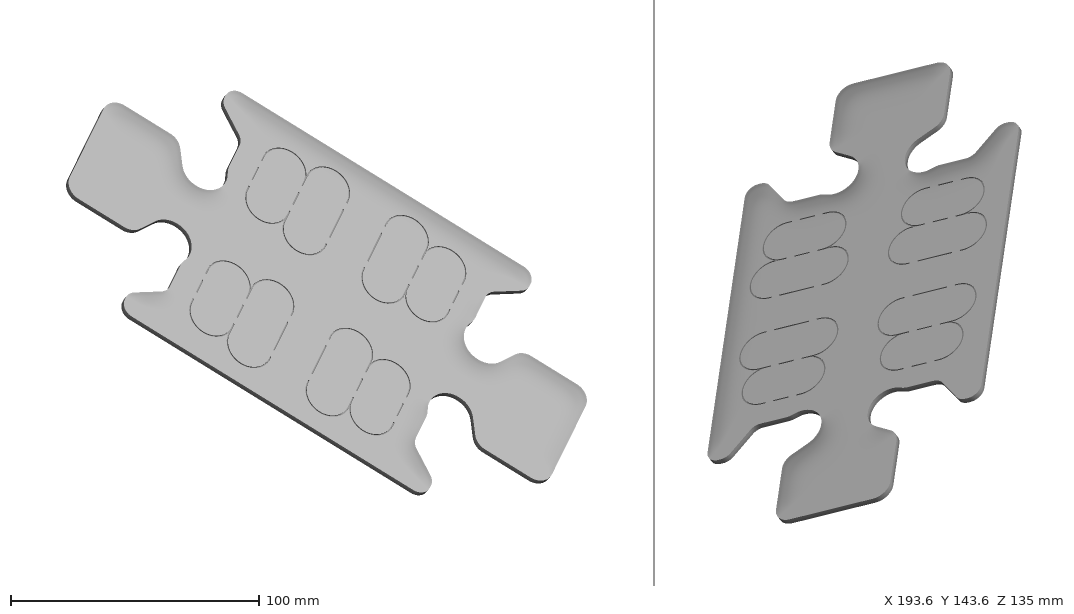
import cadquery as cq
import math

THICKNESS = 2.5
TILT_ABOUT_Y = 33.3
TILT_ABOUT_X = 20

TAB_END = 115.0
TAB_HALF_WIDTH = 26.1
TAB_CORNER_RADIUS = 7.2
TAB_FLANK_ANGLE = 60
NECK_HALF_WIDTH = 10.6
NECK_FLANK_START = 73.0
NOTCH_BOTTOM = 57.0
NOTCH_RADIUS = 9.9
NOTCH_LIP_INNER = 21.9
NOTCH_LIP_OUTER = 26.5
NOTCH_LIP_RADIUS = 7.7
BODY_END = 58.6
BODY_HALF_WIDTH = 62.5
EAR_ROOT = 42.2
EAR_ROOT_RADIUS = 5.8
EAR_ANGLE = 38
EAR_TIP = 72.8
EAR_TIP_RADIUS = 5.6

SCORE_WIDTH = 0.5
SCORE_DEPTH = 0.5
SLOT_DIRECTION = 90
SLOT_WIDTH = 19.4
LONG_SLOT_LENGTH = 44.5
SHORT_SLOT_LENGTH = 37.5
LONG_SLOT_X = 18.8
SHORT_SLOT_X = LONG_SLOT_X + SLOT_WIDTH
SLOT_Y = 31.5
BRIDGE_WIDTH = 3.5
LONG_BRIDGE_Y = 9.7
SHORT_BRIDGE_Y = 5.2


def rounded_outline(corners):
    """Closed outline through (x, y, radius) corners, each rounded by its radius."""
    outline = None
    for i, (x, y, radius) in enumerate(corners):
        corner = cq.Vector(x, y)
        before = (cq.Vector(*corners[i - 1][:2]) - corner).normalized()
        after = (cq.Vector(*corners[(i + 1) % len(corners)][:2]) - corner).normalized()
        half_angle = before.getAngle(after) / 2
        setback = radius / math.tan(half_angle)
        start = corner + before * setback
        end = corner + after * setback
        bulge = radius / math.sin(half_angle) - radius
        middle = corner + (before + after).normalized() * bulge
        if outline is None:
            outline = cq.Workplane().moveTo(start.x, start.y)
        else:
            outline = outline.lineTo(start.x, start.y)
        outline = outline.threePointArc(middle.toTuple()[:2], end.toTuple()[:2])
    return outline.close()


def plate():
    """Flat plate with a necked tab and two ears at each end."""
    flank_run = (TAB_HALF_WIDTH - NECK_HALF_WIDTH) / math.tan(math.radians(TAB_FLANK_ANGLE))
    ear_rise = (EAR_TIP - BODY_END) * math.tan(math.radians(EAR_ANGLE))
    quarter = [
        (TAB_END, TAB_HALF_WIDTH, TAB_CORNER_RADIUS),
        (NECK_FLANK_START + flank_run, TAB_HALF_WIDTH, TAB_CORNER_RADIUS),
        (NECK_FLANK_START, NECK_HALF_WIDTH, NOTCH_RADIUS),
        (NOTCH_BOTTOM, NECK_HALF_WIDTH, NOTCH_RADIUS),
        (NOTCH_BOTTOM, NOTCH_LIP_INNER, NOTCH_LIP_RADIUS),
        (BODY_END, NOTCH_LIP_OUTER, NOTCH_LIP_RADIUS),
        (BODY_END, EAR_ROOT, EAR_ROOT_RADIUS),
        (EAR_TIP, EAR_ROOT + ear_rise, EAR_TIP_RADIUS),
        (EAR_TIP, BODY_HALF_WIDTH, EAR_TIP_RADIUS),
    ]
    half = quarter + [(-x, y, radius) for x, y, radius in reversed(quarter)]
    corners = half + [(x, -y, radius) for x, y, radius in reversed(half)]
    return rounded_outline(corners).extrude(THICKNESS)


def bridge(x, y):
    """Two patches left uncut in the score line at x, at y either side of the slot centre."""
    return (
        cq.Workplane()
        .pushPoints([(x, y), (x, -y)])
        .rect(2 * SCORE_WIDTH, BRIDGE_WIDTH)
        .extrude(SCORE_DEPTH)
    )


def racetrack(x, length):
    """Ring-shaped score line along a racetrack centred at x."""
    outer = cq.Workplane().center(x, 0).slot2D(length + SCORE_WIDTH, SLOT_WIDTH + SCORE_WIDTH, SLOT_DIRECTION)
    inner = cq.Workplane().center(x, 0).slot2D(length - SCORE_WIDTH, SLOT_WIDTH - SCORE_WIDTH, SLOT_DIRECTION)
    return outer.extrude(SCORE_DEPTH).cut(inner.extrude(SCORE_DEPTH))


def score_pair():
    """One long and one short racetrack that share a straight side."""
    pair = racetrack(LONG_SLOT_X, LONG_SLOT_LENGTH).union(racetrack(SHORT_SLOT_X, SHORT_SLOT_LENGTH))
    pair = pair.cut(bridge(LONG_SLOT_X - SLOT_WIDTH / 2, LONG_BRIDGE_Y))
    pair = pair.cut(bridge(LONG_SLOT_X + SLOT_WIDTH / 2, SHORT_BRIDGE_Y))
    pair = pair.cut(bridge(SHORT_SLOT_X + SLOT_WIDTH / 2, SHORT_BRIDGE_Y))
    return pair.translate((0, SLOT_Y, THICKNESS - SCORE_DEPTH))


result = plate()
right_pair = score_pair()
left_pair = right_pair.mirror("YZ")
for pair in (right_pair, left_pair):
    result = result.cut(pair).cut(pair.mirror("XZ"))

origin = (0, 0, 0)
result = result.rotate(origin, (0, 1, 0), TILT_ABOUT_Y).rotate(origin, (1, 0, 0), TILT_ABOUT_X)